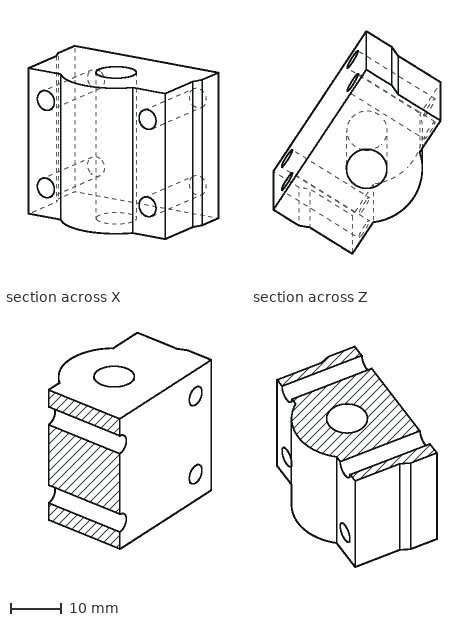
import cadquery as cq

width = 34.0
height = 30.0
depth = 22.0

bore_diameter = 8.0
boss_radius = depth / 2
back_y = depth / 2

front_step = 4.0
wide_depth = 6.0
taper_length = 2.0
side_inset = 0.85

mount_diameter = 4.0
mount_spacing_x = 24.0
mount_spacing_z = 18.0

front_y = front_step - boss_radius


def make_body():
    """Extrude the tapered block, centred on the bore axis."""
    half_width = width / 2
    narrow_half_width = half_width - side_inset
    taper_start_y = back_y - wide_depth
    taper_end_y = taper_start_y - taper_length
    right_side = [
        (half_width, back_y),
        (half_width, taper_start_y),
        (narrow_half_width, taper_end_y),
        (narrow_half_width, front_y),
    ]
    left_side = [(-x, y) for x, y in reversed(right_side)]
    return cq.Workplane("XY").polyline(right_side + left_side).close().extrude(height)


def make_boss():
    """Cylinder around the bore whose front bulges out of the block."""
    return cq.Workplane("XY").circle(boss_radius).extrude(height)


def make_bore():
    return cq.Workplane("XY").circle(bore_diameter / 2).extrude(height)


def make_mount_holes():
    """Four through holes in a rectangular pattern at mid-height."""
    return (
        cq.Workplane("XZ", origin=(0, back_y, height / 2))
        .rarray(mount_spacing_x, mount_spacing_z, 2, 2)
        .circle(mount_diameter / 2)
        .extrude(depth)
    )


result = make_body().union(make_boss()).cut(make_bore()).cut(make_mount_holes())